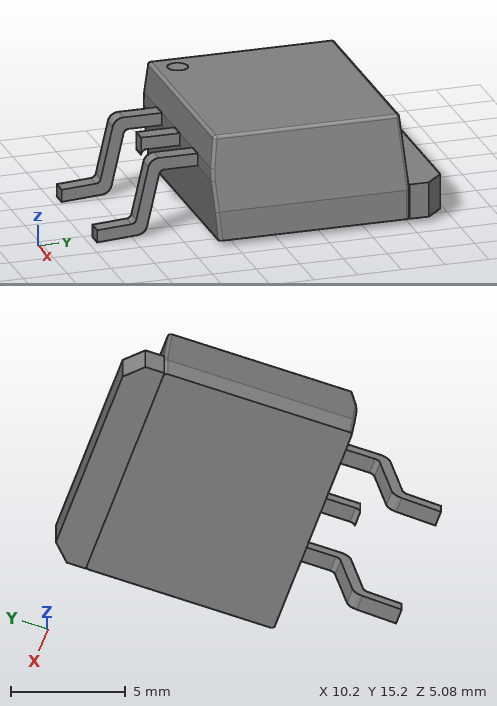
import cadquery as cq
import math


package_width = 10.16
package_length = 15.24
package_height = 5.08
seating_drop = 0.29
tab_back_y = package_length / 2
lead_tip_y = -package_length / 2

body_height = package_height - seating_drop
body_length = 8.995
draft_angle = 6.0
side_draft_height = 1.37
body_edge_radius = 0.15

tab_length = 1.66
tab_thickness = 1.61
tab_chamfer = 0.78

body_back_y = tab_back_y - tab_length
body_front_y = body_back_y - body_length

lead_pitch = 2.54
lead_width = 0.72
lead_thickness = 0.57
lead_bottom_z = 2.76
lead_top_z = lead_bottom_z + lead_thickness
shoulder_length = 1.765
leg_angle = 13.0
foot_angle = 3.7
outer_bend_radius = 0.5
inner_bend_radius = 0.24

dot_diameter = 0.91
dot_depth = 0.1
dot_x = -3.68
dot_front_margin = 1.2
dot_y = body_front_y + dot_front_margin


def draft_inset(height):
    """Horizontal shift of a drafted wall over the given height."""
    return height * math.tan(math.radians(draft_angle))


def make_body():
    """Drafted block: an end profile crossed with a side profile, with rounded corners and top rim.

    The back wall stands upright against the tab and leans inward above the tab.
    """
    half_width = package_width / 2
    side_inset = draft_inset(body_height - side_draft_height)
    back_inset = draft_inset(body_height - tab_thickness)
    upper_front_inset = draft_inset(body_height - lead_top_z)
    end_profile = [
        (-half_width, 0),
        (half_width, 0),
        (half_width, side_draft_height),
        (half_width - side_inset, body_height),
        (-half_width + side_inset, body_height),
        (-half_width, side_draft_height),
    ]
    side_profile = [
        (body_back_y, 0),
        (body_back_y, tab_thickness),
        (body_back_y - back_inset, body_height),
        (body_front_y + upper_front_inset, body_height),
        (body_front_y, lead_top_z),
        (body_front_y, lead_bottom_z),
        (body_front_y + draft_inset(lead_bottom_z), 0),
    ]
    along_y = cq.Workplane("XZ").polyline(end_profile).close().extrude(package_length / 2, both=True)
    along_x = cq.Workplane("YZ").polyline(side_profile).close().extrude(package_width, both=True)
    block = along_y.intersect(along_x)
    corner_edges = block.edges("not #Z")
    return corner_edges.add(block.faces(">Z").edges()).fillet(body_edge_radius)


def make_tab():
    """Heat tab standing behind the body, with its two back corners chamfered."""
    tab = cq.Workplane("XY").box(package_width, tab_length, tab_thickness, centered=(True, False, False))
    return tab.edges("|Z and >Y").chamfer(tab_chamfer).translate((0, body_back_y, 0))


def make_lead():
    """Gull-wing lead centred on X = 0: flat shoulder, steep leg and gently sloping foot."""
    leg = math.radians(leg_angle)
    foot = math.radians(foot_angle)
    half_top_turn = (math.pi / 2 - leg) / 2

    top_outer_y = body_front_y - shoulder_length - outer_bend_radius * math.tan(half_top_turn)
    top_inner_y = top_outer_y + lead_thickness * math.tan(half_top_turn)

    tip_bottom_z = -seating_drop
    tip_top_z = tip_bottom_z + lead_thickness / math.cos(foot)

    def leg_meets_foot(leg_y, leg_z, tip_z):
        """Point where a leg face starting at (leg_y, leg_z) meets the foot face ending at tip_z."""
        foot_z_below_start = tip_z + (leg_y - lead_tip_y) * math.tan(foot)
        drop = (leg_z - foot_z_below_start) / (1 - math.tan(leg) * math.tan(foot))
        return (leg_y - drop * math.tan(leg), leg_z - drop)

    outer_corner = (top_outer_y, lead_top_z)
    inner_corner = (top_inner_y, lead_bottom_z)
    heel_inner = leg_meets_foot(*outer_corner, tip_top_z)
    heel_outer = leg_meets_foot(*inner_corner, tip_bottom_z)
    outline = [
        (body_front_y, lead_top_z),
        outer_corner,
        heel_inner,
        (lead_tip_y, tip_top_z),
        (lead_tip_y, tip_bottom_z),
        heel_outer,
        inner_corner,
        (body_front_y, lead_bottom_z),
    ]
    lead = cq.Workplane("YZ").polyline(outline).close().extrude(lead_width / 2, both=True)

    bends = [
        (outer_corner, outer_bend_radius),
        (heel_outer, outer_bend_radius),
        (inner_corner, inner_bend_radius),
        (heel_inner, inner_bend_radius),
    ]
    for corner, radius in bends:
        bend_edge = lead.edges("|X").edges(cq.NearestToPointSelector((0, *corner)))
        lead = bend_edge.fillet(radius)
    return lead


def make_cropped_lead():
    """Centre lead: the same lead cut off square where its bend starts."""
    keep = cq.Workplane("XY").box(lead_pitch, shoulder_length, package_height, centered=(True, False, False))
    return make_lead().intersect(keep.translate((0, body_front_y - shoulder_length, 0)))


def make_dot():
    """Pin-1 disc lying flush with the top of the body."""
    base = cq.Workplane("XY", origin=(dot_x, dot_y, body_height - dot_depth))
    return base.circle(dot_diameter / 2).extrude(dot_depth)


dot = make_dot()
body = make_body().cut(dot)
tab = make_tab()
outer_leads = [make_lead().translate((side * lead_pitch, 0, 0)) for side in (-1, 1)]
centre_lead = make_cropped_lead()

result = cq.Compound.makeCompound(
    [body.val(), tab.val(), dot.val(), centre_lead.val()] + [lead.val() for lead in outer_leads]
)